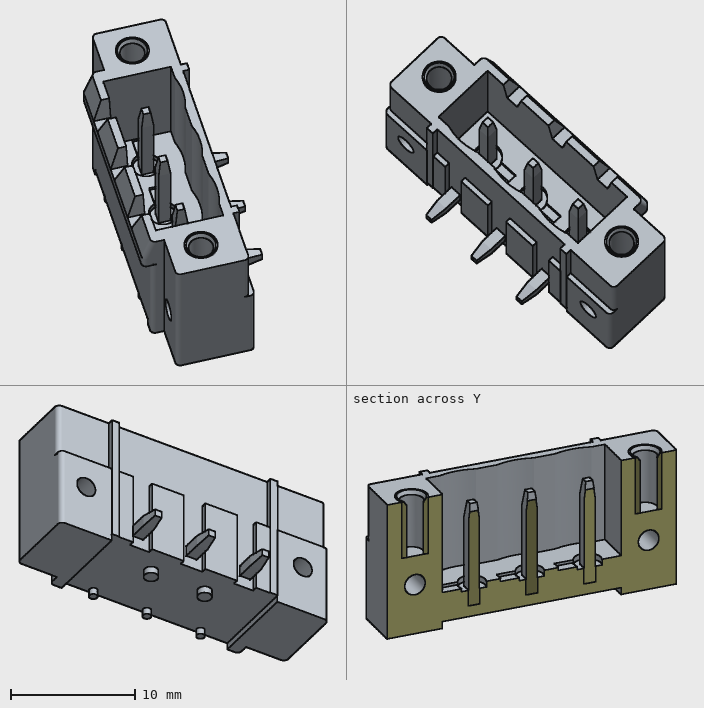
import cadquery as cq


width = 25.4
height = 12.0
front_wall_width = 17.93
flange_front_y = 1.07
back_y = 7.62
corner_radius = 0.4

upper_back_y = 7.16
back_step_z = 7.16

pitch = 5.08
contact_xs = (-pitch, 0.0, pitch)
contact_y = 3.48
pin_side = 1.0
pin_tip_side = 0.6
pin_taper = 1.47
contact_top_z = 10.65
tail_z = 2.1
tail_end_y = 10.25

lip_reach = 0.74
lip_bottom_z = 9.0
lip_edge_z = 10.0

notch_top_width = 2.0
notch_floor_width = 1.12

cavity_width = 15.7
cavity_front_y = 0.69
cavity_back_y = 6.32
cavity_floor_z = 3.5
scallop_width = 3.2
scallop_depth = 0.25

well_diameter = 2.3
well_depth = 0.5
floor_slot_reach = 2.75
floor_slot_width = 0.8
floor_slot_depth = 0.25

flange_hole_x = 10.25
insert_y = 3.78
insert_diameter = 2.7
insert_bore = 2.0
insert_length = 5.0
countersink_diameter = 2.41
countersink_depth = 0.35
cross_hole_diameter = 1.75
cross_hole_z = 4.4

rib_width = 0.69
rib_y = 7.67
middle_gap_width = 2.03
outer_gap_width = 1.8
outer_gap_x = 4.93

relief_depth = 0.6
small_peg_diameter = 0.7
small_peg_y = 0.38
large_peg_diameter = 1.2
large_peg_y = 5.08


def block(x_min, x_max, y_min, y_max, z_min, z_max):
    """Rectangular block between the given limits."""
    size = (x_max - x_min, y_max - y_min, z_max - z_min)
    return cq.Workplane("XY").box(*size, centered=False).translate((x_min, y_min, z_min))


def centred_block(block_width, y_min, y_max, z_min, z_max):
    """Rectangular block that straddles the mirror plane."""
    return block(-block_width / 2, block_width / 2, y_min, y_max, z_min, z_max)


def upright_cylinder(diameter, x, y, z_min, z_max):
    return cq.Workplane("XY", origin=(x, y, z_min)).circle(diameter / 2).extrude(z_max - z_min)


def make_shell():
    """Flanges, front wall and lip as one solid outline, with rounded upright edges."""
    flanges = centred_block(width, flange_front_y, back_y, 0, height).edges("|Z").fillet(corner_radius)
    upper_flanges = centred_block(width, flange_front_y, upper_back_y, 0, height)
    upper_flanges = upper_flanges.edges("|Z").fillet(corner_radius)
    flanges = flanges.intersect(centred_block(width, 0, back_y, 0, back_step_z)).union(upper_flanges)
    front_wall = centred_block(front_wall_width, 0, upper_back_y, 0, height)
    front_wall = front_wall.edges("|Z and <Y").fillet(corner_radius)
    return flanges.union(front_wall).union(make_lip())


def make_lip():
    """Lip whose front face slopes back to the front wall at the top."""
    lip = (
        cq.Workplane("YZ", origin=(-front_wall_width / 2, 0, 0))
        .moveTo(cavity_front_y, lip_bottom_z)
        .lineTo(-lip_reach, lip_bottom_z)
        .lineTo(-lip_reach, lip_edge_z)
        .lineTo(0, height)
        .lineTo(cavity_front_y, height)
        .close()
        .extrude(front_wall_width)
    )
    return lip.edges("not (|X or |Y or >Y)").fillet(corner_radius)


def make_cavity():
    """Plug opening with a shallow arched scallop behind each contact."""
    cavity = cq.Workplane("XY", origin=(0, 0, cavity_floor_z)).moveTo(-cavity_width / 2, cavity_front_y)
    cavity = cavity.lineTo(-cavity_width / 2, cavity_back_y)
    for x in contact_xs:
        cavity = cavity.lineTo(x - scallop_width / 2, cavity_back_y)
        cavity = cavity.threePointArc(
            (x, cavity_back_y + scallop_depth),
            (x + scallop_width / 2, cavity_back_y),
        )
    cavity = cavity.lineTo(cavity_width / 2, cavity_back_y).lineTo(cavity_width / 2, cavity_front_y)
    return cavity.close().extrude(height - cavity_floor_z)


def make_notch(x):
    """Notch through the lip and front wall, narrowing downwards."""
    return (
        cq.Workplane("XZ", origin=(x, cavity_front_y, 0))
        .moveTo(-notch_floor_width / 2, lip_edge_z)
        .lineTo(notch_floor_width / 2, lip_edge_z)
        .lineTo(notch_top_width / 2, height)
        .lineTo(-notch_top_width / 2, height)
        .close()
        .extrude(cavity_front_y + lip_reach)
    )


def make_floor_recess(x):
    """Round well around a contact, with a shallower slot on its -X side."""
    well = upright_cylinder(well_diameter, x, contact_y, cavity_floor_z - well_depth, cavity_floor_z)
    slot = block(
        x - floor_slot_reach,
        x,
        contact_y - floor_slot_width / 2,
        contact_y + floor_slot_width / 2,
        cavity_floor_z - floor_slot_depth,
        cavity_floor_z,
    )
    return well.union(slot)


def make_tail_gap(x, gap_width):
    """Gap in the lower back step that clears a contact tail."""
    return centred_block(gap_width, upper_back_y, back_y, 0, back_step_z).translate((x, 0, 0))


def make_cross_hole(x):
    """Hole through a flange from front to back."""
    hole = cq.Workplane("XZ", origin=(x, back_y, cross_hole_z)).circle(cross_hole_diameter / 2)
    return hole.extrude(back_y)


def make_insert_pocket(x):
    return upright_cylinder(insert_diameter, x, insert_y, height - insert_length, height)


def make_rib(side):
    """Upright rib on the back face, flush with one end of the cavity."""
    rib = centred_block(rib_width, upper_back_y, rib_y, relief_depth, height)
    return rib.translate((side * (cavity_width - rib_width) / 2, 0, 0))


def make_pegs():
    """Standoff pegs: small ones below the contacts, large ones midway between them."""
    pegs = [upright_cylinder(small_peg_diameter, x, small_peg_y, 0, relief_depth) for x in contact_xs]
    for x in (-pitch / 2, pitch / 2):
        pegs.append(upright_cylinder(large_peg_diameter, x, large_peg_y, 0, relief_depth))
    return pegs


def make_housing():
    housing = make_shell().cut(make_cavity())
    housing = housing.cut(centred_block(cavity_width, 0, back_y, 0, relief_depth))
    housing = housing.cut(make_tail_gap(0, middle_gap_width))

    for x in contact_xs:
        housing = housing.cut(make_notch(x)).cut(make_floor_recess(x))

    for side in (-1, 1):
        hole_x = side * flange_hole_x
        housing = housing.cut(make_tail_gap(side * outer_gap_x, outer_gap_width))
        housing = housing.cut(make_cross_hole(hole_x)).cut(make_insert_pocket(hole_x))
        housing = housing.union(make_rib(side))

    for peg in make_pegs():
        housing = housing.union(peg)
    return housing


def make_contact(x):
    """Right-angle square pin with a tapered tip at both ends."""
    half = pin_side / 2
    elbow_z = tail_z - half
    post_top_z = contact_top_z - pin_taper
    tail_taper_y = tail_end_y - pin_taper
    post = centred_block(pin_side, contact_y - half, contact_y + half, elbow_z, post_top_z)
    post = post.faces(">Z").workplane(centerOption="CenterOfMass").rect(pin_side, pin_side)
    post = post.workplane(offset=pin_taper).rect(pin_tip_side, pin_tip_side).loft()
    tail = centred_block(pin_side, contact_y - half, tail_taper_y, elbow_z, tail_z + half)
    tail = tail.faces(">Y").workplane(centerOption="CenterOfMass").rect(pin_side, pin_side)
    tail = tail.workplane(offset=pin_taper).rect(pin_tip_side, pin_tip_side).loft()
    return post.union(tail).translate((x, 0, 0))


def make_insert(x):
    """Sleeve with a countersunk mouth, flush with the top of a flange."""
    bottom_z = height - insert_length
    sleeve = upright_cylinder(insert_diameter, x, insert_y, bottom_z, height)
    bore = upright_cylinder(insert_bore, x, insert_y, bottom_z, height)
    countersink = (
        cq.Workplane("XY", origin=(x, insert_y, height))
        .circle(countersink_diameter / 2)
        .workplane(offset=-countersink_depth)
        .circle(insert_bore / 2)
        .loft()
    )
    return sleeve.cut(bore).cut(countersink)


contacts = [make_contact(x) for x in contact_xs]
inserts = [make_insert(side * flange_hole_x) for side in (-1, 1)]

housing = make_housing()
for contact in contacts:
    housing = housing.cut(contact)

result = cq.Compound.makeCompound(
    [
        housing.val(),
        *[contact.val() for contact in contacts],
        *[insert.val() for insert in inserts],
    ]
)